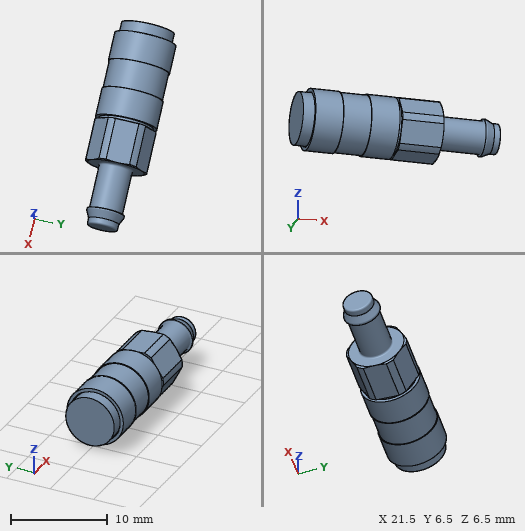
import cadquery as cq
import math

SLEEVE_START = 1.2
SLEEVE_LENGTH = 9.0
SLEEVE_END = SLEEVE_START + SLEEVE_LENGTH
BAND_LENGTH = SLEEVE_LENGTH / 3
SLEEVE_DIAMETER = 6.5
MIDDLE_BAND_DIAMETER = 6.3
BORE_DIAMETER = 5.75

NOSE_DIAMETER = 5.6
MOUTH_GAP_DEPTH = 0.3
SEAT_START = SLEEVE_START + MOUTH_GAP_DEPTH
SEAT_DIAMETER = BORE_DIAMETER
NECK_DIAMETER = 5.7
NECK_LENGTH = 0.3

HEX_START = SLEEVE_END + NECK_LENGTH
HEX_SIDES = 6
HEX_LENGTH = 4.5
HEX_END = HEX_START + HEX_LENGTH
HEX_ACROSS_FLATS = 6.0
HEX_CORNER_DIAMETER = SLEEVE_DIAMETER
HEX_TURN = -3.4
HEX_CHAMFER_ANGLE = 20.0

TOTAL_LENGTH = 21.5
TUBE_DIAMETER = 3.5
TUBE_ROOT_FILLET = 0.2
BARB_DIAMETER = 3.95
BARB_START = 19.8
BARB_CREST_LENGTH = 0.2
BARB_CONE_END = 20.8
BARB_ROOT_FILLET = 0.06
BARB_CREST_FILLET = 0.2
TIP_DIAMETER = 3.2
TIP_FILLET = 0.2


def cylinder(diameter, start, end):
    """Solid cylinder on the X axis between two X positions."""
    return cq.Workplane("YZ", origin=(start, 0, 0)).circle(diameter / 2).extrude(end - start)


def make_sleeve():
    """Locking sleeve with a recessed middle band and a plain bore."""
    middle_start = SLEEVE_START + BAND_LENGTH
    middle_end = middle_start + BAND_LENGTH
    first_band = cylinder(SLEEVE_DIAMETER, SLEEVE_START, middle_start)
    middle_band = cylinder(MIDDLE_BAND_DIAMETER, middle_start, middle_end)
    last_band = cylinder(SLEEVE_DIAMETER, middle_end, SLEEVE_END)
    outside = first_band.union(middle_band).union(last_band)
    return outside.cut(cylinder(BORE_DIAMETER, SLEEVE_START, SLEEVE_END))


def make_hexagon():
    """Hexagon with rounded corners and a chamfered outer end."""
    across_corners = HEX_ACROSS_FLATS / math.cos(math.pi / HEX_SIDES)
    prism = (
        cq.Workplane("YZ", origin=(HEX_START, 0, 0))
        .polygon(HEX_SIDES, across_corners)
        .extrude(HEX_LENGTH)
        .rotate((0, 0, 0), (1, 0, 0), HEX_TURN)
    )
    corner_radius = HEX_CORNER_DIAMETER / 2
    end_radius = HEX_ACROSS_FLATS / 2
    chamfer_length = (corner_radius - end_radius) * math.tan(math.radians(HEX_CHAMFER_ANGLE))
    envelope = (
        cq.Workplane("XY")
        .moveTo(HEX_START, 0)
        .lineTo(HEX_START, corner_radius)
        .lineTo(HEX_END - chamfer_length, corner_radius)
        .lineTo(HEX_END, end_radius)
        .lineTo(HEX_END, 0)
        .close()
        .revolve(360, (0, 0, 0), (1, 0, 0))
    )
    return prism.intersect(envelope)


def make_barb():
    """Hose tube with a barb near its free end, turned about X."""
    tube_radius = TUBE_DIAMETER / 2
    barb_radius = BARB_DIAMETER / 2
    tip_radius = TIP_DIAMETER / 2
    crest_end = BARB_START + BARB_CREST_LENGTH
    cone_angle = math.atan2(barb_radius - tip_radius, BARB_CONE_END - crest_end)
    tangent_length = BARB_CREST_FILLET * math.tan(cone_angle / 2)
    fillet_start = crest_end - tangent_length
    fillet_end = crest_end + tangent_length * math.cos(cone_angle)
    fillet_end_radius = barb_radius - tangent_length * math.sin(cone_angle)

    return (
        cq.Workplane("XY")
        .moveTo(HEX_END, 0)
        .lineTo(HEX_END, tube_radius + TUBE_ROOT_FILLET)
        .radiusArc((HEX_END + TUBE_ROOT_FILLET, tube_radius), -TUBE_ROOT_FILLET)
        .lineTo(BARB_START - BARB_ROOT_FILLET, tube_radius)
        .radiusArc((BARB_START, tube_radius + BARB_ROOT_FILLET), -BARB_ROOT_FILLET)
        .lineTo(BARB_START, barb_radius)
        .lineTo(fillet_start, barb_radius)
        .radiusArc((fillet_end, fillet_end_radius), BARB_CREST_FILLET)
        .lineTo(BARB_CONE_END, tip_radius)
        .lineTo(TOTAL_LENGTH - TIP_FILLET, tip_radius)
        .radiusArc((TOTAL_LENGTH, tip_radius - TIP_FILLET), TIP_FILLET)
        .lineTo(TOTAL_LENGTH, 0)
        .close()
        .revolve(360, (0, 0, 0), (1, 0, 0))
    )


def make_core():
    """Nose, sleeve seat, neck, hexagon and hose barb as one body."""
    nose = cylinder(NOSE_DIAMETER, 0, SEAT_START)
    seat = cylinder(SEAT_DIAMETER, SEAT_START, SLEEVE_END)
    neck = cylinder(NECK_DIAMETER, SLEEVE_END, HEX_START)
    return nose.union(seat).union(neck).union(make_hexagon()).union(make_barb())


sleeve = make_sleeve()
core = make_core()

result = cq.Compound.makeCompound([sleeve.val(), core.val()])